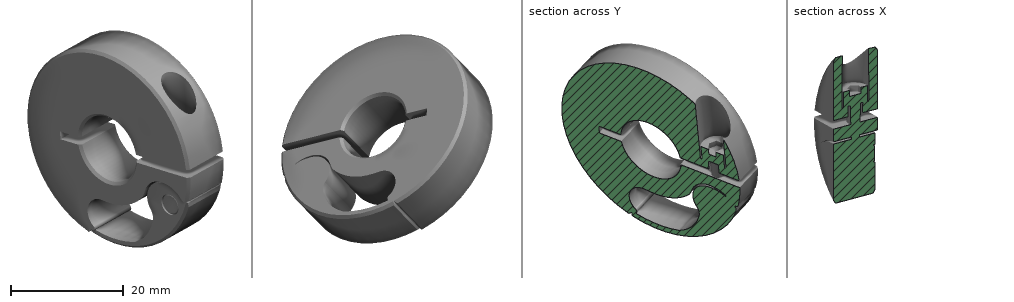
import cadquery as cq
import math

outer_radius = 19.03
width = 10.0
bore_diameter = 12.7
edge_chamfer = 0.5
half_width = width / 2

slot_tilt = 5.0
slot_width = 1.52
slot_reach_left = 11.0

screw_offset = 13.6
shank_diameter = 2.45
clearance_diameter = 3.25
head_diameter = 5.5
counterbore_diameter = 5.95
head_height = 3.0
head_top = 5.7
hex_across_flats = 2.5
hex_depth = 1.15
shank_bottom = -3.75
head_seat = head_top - head_height

pivot_x, pivot_z = 14.25, -6.28
pin_diameter = 3.92
pin_hole_diameter = 3.95
pin_chamfer = 0.23
pin_recess = 0.1

lever_recess = 0.5
web_radius = 10.58
lever_inner_radius = 17.77
beyond_rim = outer_radius + 1.9

ledge_outer = (-4.1, -17.4)
ledge_inner = (-3.1, -17.4)
contact_start = (16.55, -3.25)
contact_end = (17.4, -4.07)


def prism(outline):
    """Extrude an XZ outline over the full width, centred on Y = 0."""
    return outline.close().extrude(half_width, both=True)


def on_circle(radius, x):
    """Point at x on the lower half of a circle around the bore axis."""
    return (x, -math.sqrt(radius**2 - x**2))


def middle_of_arc(radius, x_start, x_end):
    """Point at the middle x of a lower arc around the bore axis."""
    return on_circle(radius, (x_start + x_end) / 2)


def make_disc(front_recess=0.0):
    """Chamfered disc whose -Y face is set back by front_recess."""
    return (
        cq.Workplane("XZ", origin=(0, half_width, 0))
        .circle(outer_radius)
        .extrude(width - front_recess)
        .faces("<Y or >Y")
        .chamfer(edge_chamfer)
    )


def make_bore():
    """Bore cutter, flared at both ends for the edge chamfers."""
    radius = bore_diameter / 2
    bore = cq.Workplane("XZ").circle(radius).extrude(half_width, both=True)
    for side in (-1, 1):
        flare = cq.Solid.makeCone(
            radius + edge_chamfer,
            radius,
            edge_chamfer,
            cq.Vector(0, side * half_width, 0),
            cq.Vector(0, -side, 0),
        )
        bore = bore.union(cq.Workplane(flare))
    return bore


def make_slot():
    length = slot_reach_left + beyond_rim
    return (
        cq.Workplane("XY")
        .box(length, width, slot_width)
        .translate((length / 2 - slot_reach_left, 0, 0))
        .rotate((0, 0, 0), (0, 1, 0), -slot_tilt)
    )


def make_lever_space():
    """Everything removed from the collar for the lever and its finger opening."""
    web_end_x = 8.3
    collar_tip = (-4.72, -18.45)
    hook_end = (18.73, -3.7)
    outline = (
        cq.Workplane("XZ")
        .moveTo(*collar_tip)
        .lineTo(-4.1, -17.93)
        .lineTo(*ledge_outer)
        .lineTo(*ledge_inner)
        .threePointArc((-2.93, -16.95), (-3.3, -16.48))
        .threePointArc((-4.55, -14.0), (-1.25, -web_radius))
        .lineTo(0, -web_radius)
        .threePointArc(middle_of_arc(web_radius, 0, web_end_x), on_circle(web_radius, web_end_x))
        .lineTo(8.8, -5.25)
        .threePointArc((10.0, -3.25), (13.1, -2.1))
        .threePointArc((15.05, -2.4), contact_start)
        .lineTo(*contact_end)
        .threePointArc((18.05, -4.3), hook_end)
        .lineTo(beyond_rim, hook_end[1])
        .lineTo(beyond_rim, -beyond_rim)
        .lineTo(collar_tip[0], -beyond_rim)
    )
    return prism(outline)


def make_lever():
    """Lever with a round hub and a thin arm, trimmed by a set-back disc."""
    arm_start_x = 5.85
    arm_end_x = -3.0
    heel_x = 18.2
    outline = (
        cq.Workplane("XZ")
        .moveTo(*ledge_outer)
        .lineTo(-4.07, -18.4)
        .lineTo(-3.9, -18.7)
        .lineTo(-3.9, -beyond_rim)
        .lineTo(heel_x, -beyond_rim)
        .lineTo(heel_x, -4.65)
        .lineTo(17.9, -4.3)
        .lineTo(*contact_end)
        .lineTo(*contact_start)
        .threePointArc((15.25, -2.63), (13.1, -2.45))
        .threePointArc((10.0, -3.7), (8.95, -5.9))
        .threePointArc((9.1, -7.7), (9.82, -8.95))
        .threePointArc((10.2, -9.82), (10.12, -11.3))
        .threePointArc((9.1, -13.78), (6.4, -16.48))
        .threePointArc((6.13, -16.67), on_circle(lever_inner_radius, arm_start_x))
        .threePointArc(
            middle_of_arc(lever_inner_radius, arm_start_x, arm_end_x),
            on_circle(lever_inner_radius, arm_end_x),
        )
        .lineTo(*ledge_inner)
    )
    return prism(outline).intersect(make_disc(lever_recess))


def make_pin_recess():
    """Hole mouth in the lever face, with the chamfered pin end standing inside it."""
    lever_face_y = lever_recess - half_width
    inward = cq.Vector(0, 1, 0)
    mouth = cq.Vector(pivot_x, lever_face_y, pivot_z)
    hole = cq.Solid.makeCylinder(pin_hole_diameter / 2, pin_recess + pin_chamfer, mouth, inward)
    pin_radius = pin_diameter / 2
    pin_face = cq.Vector(pivot_x, lever_face_y + pin_recess, pivot_z)
    pin_end = cq.Solid.makeCone(pin_radius - pin_chamfer, pin_radius, pin_chamfer, pin_face, inward)
    return cq.Workplane(hole.cut(pin_end))


def along_screw(shape):
    """Place a shape built on the Z axis onto the tilted screw axis."""
    return shape.translate((screw_offset, 0, 0)).rotate((0, 0, 0), (0, 1, 0), -slot_tilt)


def rod(diameter, bottom, top):
    return cq.Workplane("XY").workplane(offset=bottom).circle(diameter / 2).extrude(top - bottom)


def make_screw_hole():
    counterbore = rod(counterbore_diameter, head_seat, beyond_rim)
    clearance = rod(clearance_diameter, 0, head_seat)
    return along_screw(counterbore.union(clearance))


def make_screw():
    hex_across_corners = hex_across_flats / math.cos(math.pi / 6)
    socket = (
        cq.Workplane("XY")
        .workplane(offset=head_top - hex_depth)
        .polygon(6, hex_across_corners)
        .extrude(hex_depth)
    )
    head = rod(head_diameter, head_seat, head_top)
    shank = rod(shank_diameter, shank_bottom, head_seat)
    return along_screw(head.union(shank).cut(socket))


collar = (
    make_disc()
    .cut(make_bore())
    .cut(make_slot())
    .cut(make_lever_space())
    .cut(make_screw_hole())
)
lever = make_lever().cut(make_pin_recess())
result = collar.union(lever).union(make_screw())